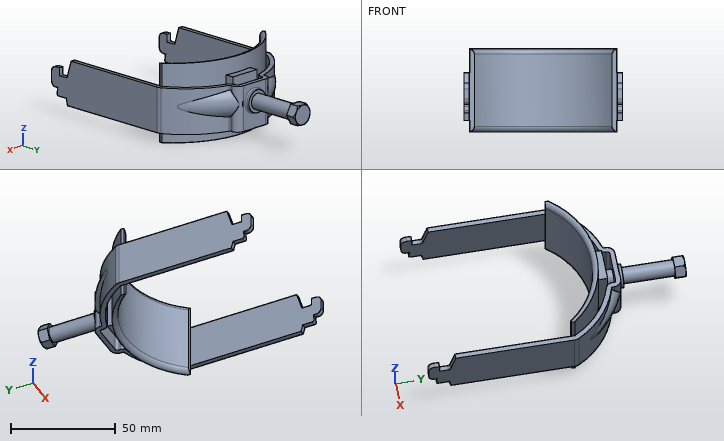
import cadquery as cq
import math


bolt_end_y = 131.5
head_length = 5.3
head_across_flats = 10.0
head_bevel_height = 0.8
shank_diameter = 8.0

strap_width_x = 76.0
strap_thickness = 2.5
strap_top_z = 9.1
strap_height = 23.0
strap_bottom_z = strap_top_z - strap_height
crown_back_y = 99.0
crown_front_y = crown_back_y - strap_thickness
crown_half_width = 11.5
shoulder_radius = 42.6
shoulder_centre_y = 52.9
crown_inner_radius = 1.3
crown_outer_radius = crown_inner_radius + strap_thickness
crown_foot_inner_radius = 0.7
crown_foot_outer_radius = crown_foot_inner_radius + strap_thickness
arm_bend_outer_radius = 4.5
arm_bend_inner_radius = arm_bend_outer_radius - strap_thickness

arm_top_end_y = 13.2
arm_bottom_end_y = 10.8
slot_start_y = 10.4
slot_end_y = 5.3
slot_floor_z = 0.0
hook_top_z = 4.0
hook_bottom_z = -6.3
heel_upper_y = 4.1
heel_lower_y = 3.5
heel_bevel_z = -7.2
heel_start_y = 9.9
heel_bottom_z = -10.4
hook_tip_radius = 2.8
slot_start_radius = 1.0
slot_end_radius = 0.5
heel_radius = 1.0

collar_diameter = 11.6
collar_height = 2.0
collar_root_radius = 0.7

gusset_crest_radius = 56.5
gusset_centre_x = -12.6
gusset_centre_y = 46.4
gusset_tube_radius = 8.7
gusset_inner_x = 7.9
gusset_outer_x = 35.5

saddle_width = 70.5
saddle_height = 40.0
saddle_centre_z = 0.5
saddle_outer_radius = 44.7
saddle_thickness = 2.8
saddle_back_y = 88.8
saddle_end_y = 70.0
saddle_rim_radius = 2.6

block_width = 16.3
block_height = 24.5
block_back_y = 92.6

saddle_centre_y = saddle_back_y - saddle_outer_radius

selection_margin = 0.1


def circle_y(radius, centre_y, x):
    """Y of the rear half of a circle centred on the Y axis."""
    return centre_y + math.sqrt(radius**2 - x**2)


def box_selector(low, high):
    """Selector for the edges centred in a box, with a small margin all round."""
    return cq.selectors.BoxSelector(
        [value - selection_margin for value in low],
        [value + selection_margin for value in high],
    )


def mirrored_corners(x, y):
    """Selector for the two upright edges of the strap at (+x, y) and (-x, y)."""
    right = box_selector((x, y, strap_bottom_z), (x, y, strap_top_z))
    left = box_selector((-x, y, strap_bottom_z), (-x, y, strap_top_z))
    return cq.selectors.SumSelector(right, left)


def extrude_z(outline, bottom_z, height):
    """Raise an XY outline from bottom_z."""
    return outline.extrude(height).translate((0, 0, bottom_z))


def arch_outline(half_width, crown_half, crown_y, radius):
    """Closed outline of two straight sides, arched shoulders and a raised crown."""
    shoulder_end_y = circle_y(radius, shoulder_centre_y, half_width)
    crown_foot_y = circle_y(radius, shoulder_centre_y, crown_half)
    middle_x = (half_width + crown_half) / 2
    middle_y = circle_y(radius, shoulder_centre_y, middle_x)
    return (
        cq.Workplane("XY")
        .moveTo(-half_width, 0)
        .lineTo(-half_width, shoulder_end_y)
        .threePointArc((-middle_x, middle_y), (-crown_half, crown_foot_y))
        .lineTo(-crown_half, crown_y)
        .lineTo(crown_half, crown_y)
        .lineTo(crown_half, crown_foot_y)
        .threePointArc((middle_x, middle_y), (half_width, shoulder_end_y))
        .lineTo(half_width, 0)
        .close()
    )


def rounded_arch(half_width, crown_half, crown_y, radius, bend_radius, foot_radius, crown_radius):
    """Solid arch with its arm bends, crown feet and crown corners rounded."""
    corners = [
        (half_width, circle_y(radius, shoulder_centre_y, half_width), bend_radius),
        (crown_half, circle_y(radius, shoulder_centre_y, crown_half), foot_radius),
        (crown_half, crown_y, crown_radius),
    ]
    arch = extrude_z(arch_outline(half_width, crown_half, crown_y, radius), strap_bottom_z, strap_height)
    for x, y, fillet_radius in corners:
        arch = arch.edges("|Z").edges(mirrored_corners(x, y)).fillet(fillet_radius)
    return arch


def make_arm_silhouette():
    """Side shape of the strap: full height at the crown, hooked at the arm ends."""
    silhouette = (
        cq.Workplane("YZ")
        .moveTo(bolt_end_y, strap_top_z)
        .lineTo(arm_top_end_y, strap_top_z)
        .lineTo(slot_start_y, slot_floor_z)
        .lineTo(slot_end_y, slot_floor_z)
        .lineTo(slot_end_y, hook_top_z)
        .lineTo(0, hook_top_z)
        .lineTo(0, hook_bottom_z)
        .lineTo(heel_upper_y, hook_bottom_z)
        .lineTo(heel_upper_y, heel_bevel_z)
        .lineTo(heel_lower_y, heel_bottom_z)
        .lineTo(heel_start_y, heel_bottom_z)
        .lineTo(arm_bottom_end_y, strap_bottom_z)
        .lineTo(bolt_end_y, strap_bottom_z)
        .close()
        .extrude(strap_width_x / 2, both=True)
    )
    rounded_corners = [
        (slot_start_y, slot_floor_z, slot_start_radius),
        (slot_end_y, slot_floor_z, slot_end_radius),
        (0, hook_top_z, hook_tip_radius),
        (0, hook_bottom_z, hook_tip_radius),
        (heel_lower_y, heel_bottom_z, heel_radius),
    ]
    for y, z, fillet_radius in rounded_corners:
        spot = box_selector((0, y, z), (0, y, z))
        silhouette = silhouette.edges("|X").edges(spot).fillet(fillet_radius)
    return silhouette


def make_gusset(strap_envelope):
    """Rib on the +X shoulder: part of a ring standing proud of the strap's outer face."""
    ring = cq.Solid.makeTorus(
        gusset_crest_radius - gusset_tube_radius,
        gusset_tube_radius,
        cq.Vector(gusset_centre_x, gusset_centre_y, 0),
        cq.Vector(0, 0, 1),
    )
    length_x = gusset_outer_x - gusset_inner_x
    length_y = crown_back_y - shoulder_centre_y
    zone = (
        cq.Workplane("XY")
        .box(length_x, length_y, strap_height, centered=(False, False, True))
        .translate((gusset_inner_x, shoulder_centre_y, 0))
    )
    return zone.intersect(cq.Workplane(obj=ring)).cut(strap_envelope)


def y_cylinder(diameter, start_y, end_y):
    """Cylinder on the bolt axis between two Y positions."""
    return (
        cq.Workplane("XZ", origin=(0, end_y, 0))
        .circle(diameter / 2)
        .extrude(end_y - start_y)
    )


def make_strap():
    outer = rounded_arch(
        strap_width_x / 2,
        crown_half_width,
        crown_back_y,
        shoulder_radius,
        arm_bend_outer_radius,
        crown_foot_inner_radius,
        crown_outer_radius,
    )
    inner = rounded_arch(
        strap_width_x / 2 - strap_thickness,
        crown_half_width - strap_thickness,
        crown_front_y,
        shoulder_radius - strap_thickness,
        arm_bend_inner_radius,
        crown_foot_outer_radius,
        crown_inner_radius,
    )
    strap = outer.cut(inner).intersect(make_arm_silhouette())
    collar = y_cylinder(collar_diameter, crown_front_y, crown_back_y + collar_height)
    strap = strap.union(collar)
    root = box_selector((0, crown_back_y, 0), (0, crown_back_y, 0))
    strap = strap.edges("%CIRCLE").edges(root).fillet(collar_root_radius)
    gusset = make_gusset(outer)
    strap = strap.union(gusset).union(gusset.mirror("YZ"))
    return strap.cut(y_cylinder(shank_diameter, block_back_y, bolt_end_y))


def make_saddle():
    inner_radius = saddle_outer_radius - saddle_thickness
    bottom_z = saddle_centre_z - saddle_height / 2
    ring = (
        cq.Workplane("XY")
        .center(0, saddle_centre_y)
        .circle(saddle_outer_radius)
        .circle(inner_radius)
    )
    ring = extrude_z(ring, bottom_z, saddle_height)
    inner_rims = cq.selectors.RadiusNthSelector(0)
    ring = ring.edges("%CIRCLE").edges(inner_rims).fillet(saddle_rim_radius)
    span = (
        cq.Workplane("XY")
        .box(saddle_width, saddle_back_y, saddle_height, centered=(True, False, True))
        .translate((0, saddle_end_y, saddle_centre_z))
    )
    return ring.intersect(span)


def make_block():
    """Pressure block, hollowed to sit on the back of the saddle."""
    block = (
        cq.Workplane("XY")
        .box(block_width, block_back_y - saddle_centre_y, block_height, centered=(True, False, True))
        .translate((0, saddle_centre_y, 0))
    )
    seat = cq.Workplane("XY").center(0, saddle_centre_y).circle(saddle_outer_radius)
    return block.cut(extrude_z(seat, -saddle_height, 2 * saddle_height))


def make_bolt():
    across_corners = head_across_flats / math.cos(math.pi / 6)
    head_start_y = bolt_end_y - head_length
    head = (
        cq.Workplane("XZ", origin=(0, bolt_end_y, 0))
        .polygon(6, across_corners)
        .extrude(head_length)
    )
    bevel = y_cylinder(across_corners, head_start_y, bolt_end_y).faces(">Y").chamfer(head_bevel_height)
    shank = y_cylinder(shank_diameter, block_back_y, head_start_y)
    return head.intersect(bevel).union(shank)


strap = make_strap()
saddle = make_saddle()
block = make_block()
bolt = make_bolt()

result = cq.Compound.makeCompound([strap.val(), saddle.val(), block.val(), bolt.val()])